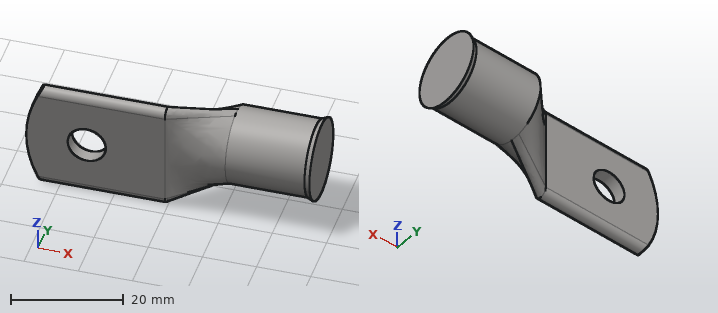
import cadquery as cq
import math

total_length = 52.25
palm_width = 20.85
palm_thickness = 2.8
palm_length = 25.6
tip_depth = 2.9
hole_diameter = 7.0
hole_x = 11.2
barrel_radius = 7.15
barrel_start = 36.6
barrel_axis_y = 7.75
flare_radius = 7.65
flare_length = 1.05
side_band_width = 2.1

edge_radius = palm_thickness / 2
half_width = palm_width / 2
flare_start = total_length - flare_length


def plane_at(x):
    """Cross-section plane: local x is Y, local y is Z, extrusion goes along +X."""
    return cq.Workplane("YZ", origin=(x, 0, 0))


def palm_section(x):
    """Flat section with fully rounded edges."""
    flat = half_width - edge_radius
    return (
        plane_at(x)
        .moveTo(palm_thickness, -flat)
        .lineTo(palm_thickness, flat)
        .threePointArc((edge_radius, half_width), (0, flat))
        .lineTo(0, -flat)
        .threePointArc((edge_radius, -half_width), (palm_thickness, -flat))
        .close()
    )


def barrel_section(x):
    """Barrel circle split into four arcs that pair with the palm section's edges."""
    band_y = side_band_width / 2
    band_z = math.sqrt(barrel_radius**2 - band_y**2)
    upper = barrel_axis_y + band_y
    lower = barrel_axis_y - band_y
    return (
        plane_at(x)
        .moveTo(upper, -band_z)
        .threePointArc((barrel_axis_y + barrel_radius, 0), (upper, band_z))
        .threePointArc((barrel_axis_y, barrel_radius), (lower, band_z))
        .threePointArc((barrel_axis_y - barrel_radius, 0), (lower, -band_z))
        .threePointArc((barrel_axis_y, -barrel_radius), (upper, -band_z))
        .close()
    )


def make_palm():
    blank = palm_section(0).extrude(palm_length)
    outline = (
        cq.Workplane("XZ")
        .moveTo(palm_length, -half_width)
        .lineTo(tip_depth, -half_width)
        .threePointArc((0, 0), (tip_depth, half_width))
        .lineTo(palm_length, half_width)
        .close()
        .extrude(-palm_thickness)
    )
    hole = (
        cq.Workplane("XZ")
        .center(hole_x, 0)
        .circle(hole_diameter / 2)
        .extrude(-palm_thickness)
    )
    return blank.intersect(outline).cut(hole)


def make_transition():
    start = palm_section(palm_length).wire().val()
    end = barrel_section(barrel_start).wire().val()
    return cq.Workplane(cq.Solid.makeLoft([start, end], True))


def make_barrel():
    """Round barrel with a flared mouth, turned about its own axis."""
    return (
        cq.Workplane("XY", origin=(0, barrel_axis_y, 0))
        .moveTo(barrel_start, 0)
        .lineTo(barrel_start, barrel_radius)
        .lineTo(flare_start, barrel_radius)
        .lineTo(total_length, flare_radius)
        .lineTo(total_length, 0)
        .close()
        .revolve(360, (0, 0, 0), (1, 0, 0))
    )


result = make_palm().union(make_transition()).union(make_barrel())